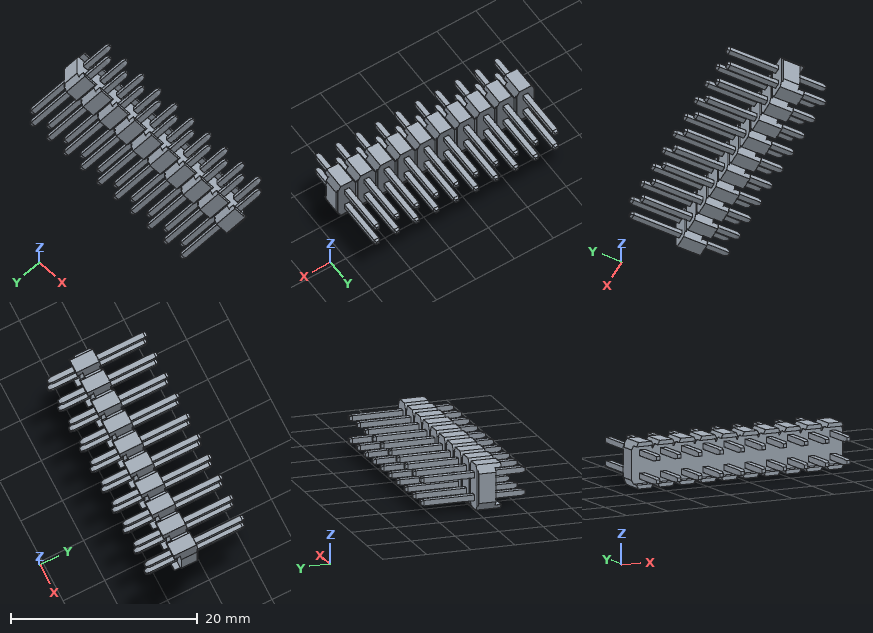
import cadquery as cq

PITCH = 2.55
COLUMNS = 10
ROWS = 2
LENGTH = COLUMNS * PITCH
HEIGHT = ROWS * PITCH

BODY_DEPTH = 2.77
CREST_WIDTH = 1.55
NOTCH_DEPTH = 0.9
LIP_THICKNESS = 0.45
LIP_LENGTH = 0.69
GROOVE_WIDTH = 0.33
GROOVE_DEPTH = 0.15

PIN_WIDTH = 0.64
PIN_LENGTH = 11.8
PIN_FRONT_REACH = 3.02
TIP_WIDTH = 0.4
FRONT_TIP_LENGTH = 0.43
REAR_TIP_LENGTH = 0.3

FRONT_Y = 0.0
REAR_Y = FRONT_Y + BODY_DEPTH
PIN_START_Y = FRONT_Y - PIN_FRONT_REACH
PIN_END_Y = PIN_START_Y + PIN_LENGTH


def centred_positions(count):
    """Coordinates of `count` items at the pitch, centred on zero."""
    return [(i - (count - 1) / 2) * PITCH for i in range(count)]


def xz_plane(y):
    """Sketch plane at the given Y, facing +Y, with local (-x, z) axes."""
    return cq.Workplane(cq.Plane(origin=(0, y, 0), xDir=(-1, 0, 0), normal=(0, 1, 0)))


def make_insulator():
    """Row of bevelled cells, hollowed at the front and grooved at the rear."""
    half_height = HEIGHT / 2
    shoulder = half_height - NOTCH_DEPTH
    half_crest = CREST_WIDTH / 2
    crest = []
    for x in centred_positions(COLUMNS):
        crest.append((x - PITCH / 2, shoulder))
        crest.append((x - half_crest, half_height))
        crest.append((x + half_crest, half_height))
    crest.append((LENGTH / 2, shoulder))
    underside = [(x, -z) for x, z in reversed(crest)]
    body = xz_plane(FRONT_Y).polyline(crest + underside).close().extrude(BODY_DEPTH)

    channel = cq.Workplane().box(LENGTH, LIP_LENGTH, HEIGHT - 2 * LIP_THICKNESS)
    body = body.cut(channel.translate((0, FRONT_Y + LIP_LENGTH / 2, 0)))

    for x in centred_positions(COLUMNS + 1):
        groove = cq.Workplane().box(GROOVE_WIDTH, GROOVE_DEPTH, HEIGHT)
        body = body.cut(groove.translate((x, REAR_Y - GROOVE_DEPTH / 2, 0)))
    return body


def pin_section(y_start, y_end, start_width, end_width):
    """Square length of pin, tapering evenly from one width to the other."""
    length = y_end - y_start
    start = xz_plane(y_start).rect(start_width, start_width)
    return start.workplane(offset=length).rect(end_width, end_width).loft(ruled=True)


def make_pin():
    """Square pin on the Y axis with a tapered tip at each end."""
    shank_start = PIN_START_Y + FRONT_TIP_LENGTH
    shank_end = PIN_END_Y - REAR_TIP_LENGTH
    front_tip = pin_section(PIN_START_Y, shank_start, TIP_WIDTH, PIN_WIDTH)
    shank = pin_section(shank_start, shank_end, PIN_WIDTH, PIN_WIDTH)
    rear_tip = pin_section(shank_end, PIN_END_Y, PIN_WIDTH, TIP_WIDTH)
    return shank.union(front_tip).union(rear_tip)


result = make_insulator()
pin = make_pin()
for x in centred_positions(COLUMNS):
    for z in centred_positions(ROWS):
        result = result.union(pin.translate((x, 0, z)))